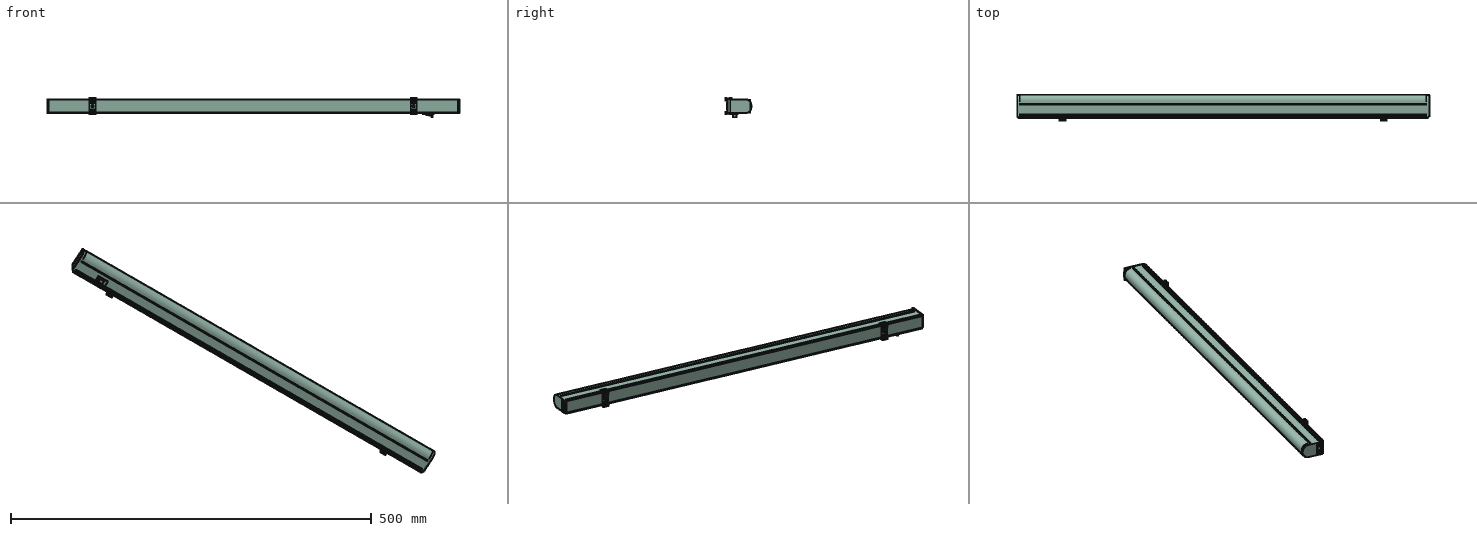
import cadquery as cq

housing_length = 571.0
housing_height = 19.5
housing_front = 3.5
housing_back = 36.0
housing_middle = housing_height / 2
lens_radius = 8.5

end_depth = 3.7
lens_end_inset = 0.3
front_bevel_along_x = 2.0
front_bevel_along_y = 3.0
end_plate_thickness = 1.0
end_plate_front = 6.5
end_plate_back = 34.5
end_plate_height = 18.5

groove_depth = 1.0
seam_groove = (22.5, 1.0)
lens_front = sum(seam_groove)
clip_groove = (7.0, 2.0)
front_groove = (4.5, 1.0)

socket_front = 7.0
socket_width = 7.0
socket_height = 15.5
socket_depth = 2.0
socket_core_width = 5.0
socket_core_height = 8.5
key_slot_width = 1.0
key_slot_height = 2.0

clip_width = 8.5
clip_offset = 63.0
clip_height = 23.0
plate_front = 2.5
pad_front = 2.0
pad_height = 8.5
pad_slope = 2.0
leg_thickness = 0.85
leg_reach = 8.5
rib_width = 0.85
middle_rib_front = 4.85
lip_height = 4.0
lip_thickness = 0.85
lip_return = 2.0
screw_hole_diameter = 3.5

bezel_start = 520.5
bezel_length = 15.5
bezel_width = 8.5
bezel_thickness = 2.0
switch_y = 12.85
rocker_start = 525.5
rocker_length = 8.5
rocker_width = 5.0
rocker_start_drop = 3.0
rocker_bend_drop = 3.5
rocker_tip_drop = 6.0
rocker_bend_to_end = 2.5
rocker_tip_length = 1.0


def block(x, y, z):
    """Box spanning the given (low, high) pairs."""
    size = (x[1] - x[0], y[1] - y[0], z[1] - z[0])
    return cq.Workplane("XY").box(*size, centered=False).translate((x[0], y[0], z[0]))


def centred_span(middle, size):
    return (middle - size / 2, middle + size / 2)


def cut_grooves(body):
    along = (end_depth, housing_length - end_depth)
    for front, width in (seam_groove, clip_groove, front_groove):
        across = (front, front + width)
        body = body.cut(block(along, across, (housing_height - groove_depth, housing_height)))
        body = body.cut(block(along, across, (0, groove_depth)))
    return body


def bevel_front_corners(body):
    """Cut the vertical front edge at both ends with a shallow bevel."""
    for end, inward in ((0, 1), (housing_length, -1)):
        wedge = (
            cq.Workplane("XY")
            .moveTo(end, housing_front)
            .lineTo(end + inward * front_bevel_along_x, housing_front)
            .lineTo(end, housing_front + front_bevel_along_y)
            .close()
            .extrude(housing_height)
        )
        body = body.cut(wedge)
    return body


def rounded_lens(x, inset):
    """Stretch of the lens, with its back drawn in by the inset."""
    stretch = block(x, (lens_front, housing_back - inset), (0, housing_height))
    return stretch.edges("|X and >Y").fillet(lens_radius)


def make_lens():
    """Full-size lens between two slightly shallower end stretches."""
    ends = rounded_lens((0, housing_length), lens_end_inset)
    return ends.union(rounded_lens((end_depth, housing_length - end_depth), 0))


def end_socket():
    """Shallow recess around a keyed core that stands flush with the end face."""
    depth = (0, socket_depth)
    y_middle = socket_front + socket_width / 2
    recess_y = centred_span(y_middle, socket_width)
    core_y = centred_span(y_middle, socket_core_width)
    slot_y = centred_span(y_middle, key_slot_width)
    recess = block(depth, recess_y, centred_span(housing_middle, socket_height))
    core = block(depth, core_y, centred_span(housing_middle, socket_core_height))
    for side in (-1, 1):
        slot_middle = housing_middle + side * (socket_core_height - key_slot_height) / 2
        core = core.cut(block(depth, slot_y, centred_span(slot_middle, key_slot_height)))
    return recess.cut(core)


def make_housing():
    body = block((0, housing_length), (housing_front, lens_front), (0, housing_height))
    body = bevel_front_corners(body).union(make_lens())
    body = cut_grooves(body).cut(end_socket())
    end_plate = block(
        (housing_length, housing_length + end_plate_thickness),
        (end_plate_front, end_plate_back),
        centred_span(housing_middle, end_plate_height),
    )
    return body.union(end_plate)


def clip_side(x):
    """Upper leg with its ribs and hollow front lip."""
    top = housing_middle + clip_height / 2
    lip_bottom = top - lip_height
    leg = block(x, (plate_front, leg_reach), (housing_height, housing_height + leg_thickness))
    for rib_front in (middle_rib_front, leg_reach - rib_width):
        leg = leg.union(block(x, (rib_front, rib_front + rib_width), (housing_height, top)))
    lip = block(x, (0, plate_front), (lip_bottom, lip_bottom + lip_thickness))
    lip = lip.union(block(x, (0, lip_thickness), (lip_bottom, top)))
    lip = lip.union(block(x, (0, lip_return), (top - lip_thickness, top)))
    return leg.union(lip)


def make_clip(x_middle):
    x = centred_span(x_middle, clip_width)
    plate_height = housing_height + 2 * leg_thickness
    plate = block(x, (plate_front, housing_front), centred_span(housing_middle, plate_height))
    pad = (
        cq.Workplane("YZ", origin=(x[0], 0, housing_middle))
        .moveTo(plate_front, -pad_height / 2 - pad_slope)
        .lineTo(pad_front, -pad_height / 2)
        .lineTo(pad_front, pad_height / 2)
        .lineTo(plate_front, pad_height / 2 + pad_slope)
        .close()
        .extrude(clip_width)
    )
    upper = clip_side(x)
    lower = upper.mirror("XY", (0, 0, housing_middle))
    screw_hole = (
        cq.Workplane("XZ", origin=(x_middle, housing_front, housing_middle))
        .circle(screw_hole_diameter / 2)
        .extrude(housing_front)
    )
    return plate.union(pad).union(upper).union(lower).cut(screw_hole)


def make_switch():
    bezel = block(
        (bezel_start, bezel_start + bezel_length),
        centred_span(switch_y, bezel_width),
        (-bezel_thickness, 0),
    )
    rocker_end = rocker_start + rocker_length
    rocker = (
        cq.Workplane("XZ", origin=(0, switch_y, 0))
        .moveTo(rocker_start, 0)
        .lineTo(rocker_start, -rocker_start_drop)
        .lineTo(rocker_end - rocker_bend_to_end, -rocker_bend_drop)
        .lineTo(rocker_end - rocker_tip_length, -rocker_tip_drop)
        .lineTo(rocker_end, -rocker_tip_drop)
        .lineTo(rocker_end, 0)
        .close()
        .extrude(rocker_width / 2, both=True)
    )
    return bezel.union(rocker)


housing = make_housing()
clips = [make_clip(x) for x in (clip_offset, housing_length - clip_offset)]
switch = make_switch()

result = cq.Compound.makeCompound([housing.val(), *[clip.val() for clip in clips], switch.val()])